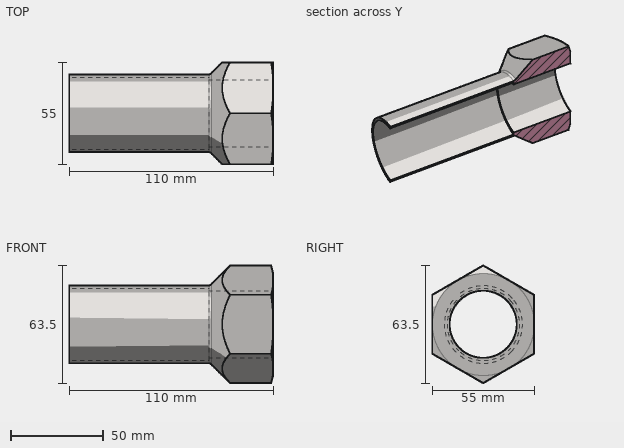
import cadquery as cq
import math

total_length = 110.0
across_flats = 55.0
corner_radius = across_flats / math.sqrt(3)

tube_radius = 42.0 / 2
tube_bore_radius = 38.9 / 2
nut_bore_radius = 36.1 / 2

cone_start = 76.0
cone_length = corner_radius - tube_radius
neck_fillet_radius = 1.9
end_chamfer_angle = math.radians(15)
end_chamfer_depth = (corner_radius - across_flats / 2) * math.tan(end_chamfer_angle)

fillet_tangent = neck_fillet_radius * math.tan(math.radians(45 / 2))
fillet_start = cone_start - fillet_tangent
fillet_end_offset = fillet_tangent * math.cos(math.radians(45))


def make_cylinder(radius, start, end):
    return cq.Workplane("YZ").workplane(offset=start).circle(radius).extrude(end - start)


def make_turned_body():
    """Revolved envelope of the tube, neck fillet, cone and nut."""
    return (
        cq.Workplane("XY")
        .lineTo(0, tube_radius)
        .lineTo(fillet_start, tube_radius)
        .tangentArcPoint(
            (cone_start + fillet_end_offset, tube_radius + fillet_end_offset), relative=False
        )
        .lineTo(cone_start + cone_length, corner_radius)
        .lineTo(total_length - end_chamfer_depth, corner_radius)
        .lineTo(total_length, across_flats / 2)
        .lineTo(total_length, 0)
        .close()
        .revolve(360, (0, 0, 0), (1, 0, 0))
    )


def make_hexagon_bar():
    """Hexagonal bar with corners pointing along Z and flats facing Y."""
    return (
        cq.Workplane("YZ")
        .transformed(rotate=(0, 0, 90))
        .polygon(6, 2 * corner_radius)
        .extrude(total_length)
    )


body = make_turned_body().intersect(make_hexagon_bar())

tube_bore = make_cylinder(tube_bore_radius, 0, fillet_start)
nut_bore = make_cylinder(nut_bore_radius, fillet_start, total_length)

result = body.cut(tube_bore).cut(nut_bore)